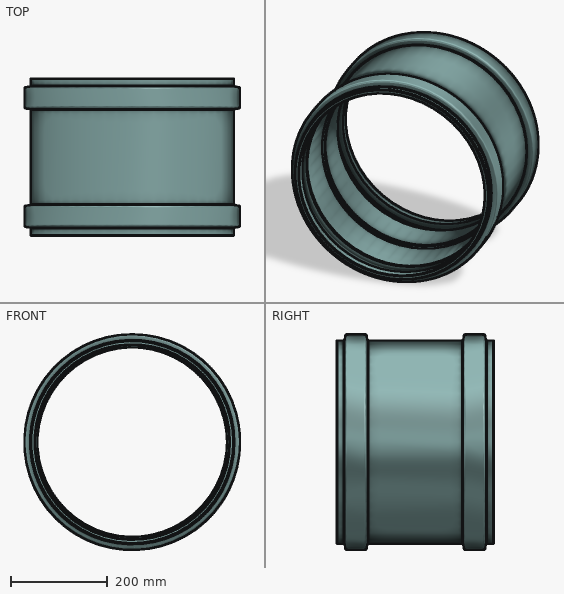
import cadquery as cq

length = 326.0
half_length = length / 2
bead_radius = 447 / 2
body_radius = 421.5 / 2
bore_radius = 402.5 / 2
stop_radius = 392.0 / 2
groove_radius = 429 / 2

bead_start = 16.5
bead_end = 64.0
groove_start = 22.0
groove_end = 56.5

stop_width = 8.0

flank_taper = 2.0
bead_fillet = 5.0
root_chamfer = 2.0
rim_chamfer = 2.0
mouth_chamfer = 1.5
groove_fillet = 2.0
lip_chamfer = 2.0


def revolve(points):
    """Turn a closed (radius, y) outline around the Y axis."""
    return cq.Workplane("XY").polyline(points).close().revolve(360, (0, 0, 0), (0, 1, 0))


def ring(radius, start, end):
    """Solid disc around the Y axis spanning start to end along Y."""
    return revolve([(0, start), (radius, start), (radius, end), (0, end)])


def cone(start_radius, end_radius, start, end):
    """Solid truncated cone around the Y axis."""
    return revolve([(0, start), (start_radius, start), (end_radius, end), (0, end)])


def bead():
    """Raised seal housing near the -Y end, with tapered flanks and eased roots."""
    start = bead_start - half_length
    end = bead_end - half_length
    housing = revolve([
        (0, start),
        (body_radius, start),
        (bead_radius, start + flank_taper),
        (bead_radius, end - flank_taper),
        (body_radius, end),
        (0, end),
    ])
    crest_edges = cq.selectors.RadiusNthSelector(-1)
    housing = housing.edges(crest_edges).fillet(bead_fillet)
    root_radius = body_radius + root_chamfer
    front_root = cone(body_radius, root_radius, start - root_chamfer, start + flank_taper)
    back_root = cone(root_radius, body_radius, end - flank_taper, end + root_chamfer)
    return housing.union(front_root).union(back_root)


def socket():
    """Insertion bore and seal groove from the -Y end up to the stop."""
    bore = ring(bore_radius, -half_length, -stop_width / 2)
    mouth = cone(bore_radius + mouth_chamfer, bore_radius, -half_length, mouth_chamfer - half_length)
    groove_back = groove_end - half_length
    groove = ring(groove_radius, groove_start - half_length, groove_back)
    groove = groove.faces(">Y").edges().fillet(groove_fillet)
    lip = cone(bore_radius + lip_chamfer, bore_radius, groove_back, groove_back + lip_chamfer)
    return bore.union(mouth).union(groove).union(lip)


def both_ends(feature):
    """Combine a -Y end feature with its mirror image at the +Y end."""
    return feature.union(feature.mirror("XZ"))


body = ring(body_radius, -half_length, half_length).edges("%CIRCLE").chamfer(rim_chamfer)
stop_opening = ring(stop_radius, -half_length, half_length)
result = body.union(both_ends(bead())).cut(stop_opening).cut(both_ends(socket()))